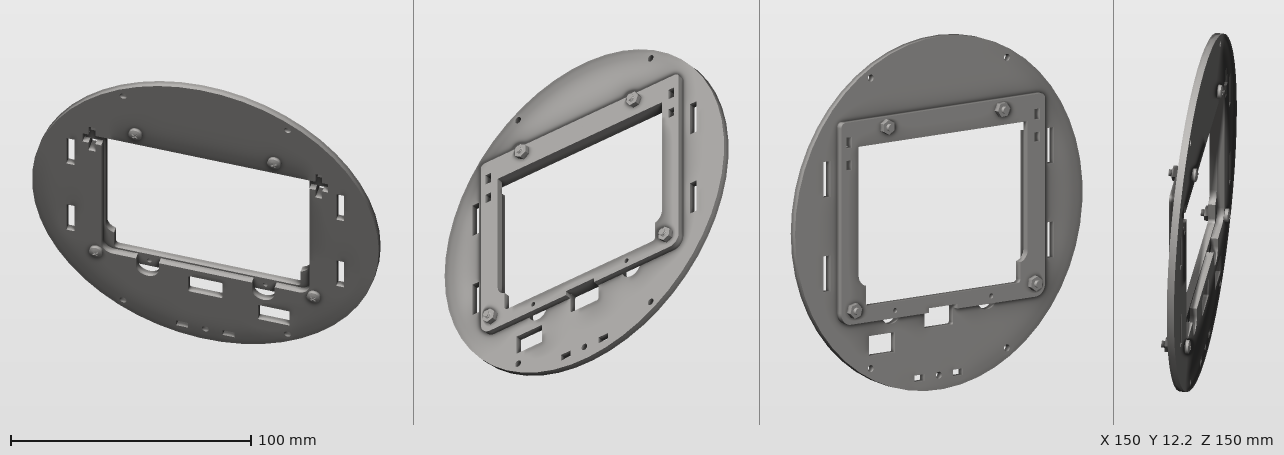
import cadquery as cq
import math

disc_thickness = 3.0
plate_thickness = 3.0
plate_front = disc_thickness
plate_back = plate_front + plate_thickness

disc_radius = 75.0
rim_hole_radius = 1.5
rim_hole_x = 35.5
rim_hole_z = 61.6
pin_hole_radius = 1.5
pin_hole_z = -68.8

window_half_width = 45.0
window_top = 34.0
window_bottom = -35.0
window_corner_radius = 5.0
ear_half_width = 53.1
ear_bottom = 29.1

tab_x = 25.0
tab_relief_radius = 5.0
tab_relief_center_z = -39.0

strap_slot_x = 58.4
strap_slot_width = 3.5
strap_slot_length = 15.3
strap_slot_centers_z = (21.5, -18.6)
tie_slot_x = 49.0
tie_slot_width = 3.0
tie_slot_top = 38.7
tie_slot_bottom = 24.6

port_width = 15.0
port_top = -39.0
port_bottom = -48.2
port_corner_radius = 0.9
switch_left = 22.8
switch_width = 13.6
switch_top = -47.7
switch_height = 8.5
foot_slot_x = 10.0
foot_slot_width = 5.1
foot_slot_height = 2.8

plate_half_width = 53.1
plate_top = 45.0
plate_bottom = -41.0
plate_top_corner_radius = 2.1
plate_bottom_corner_radius = 5.0
opening_half_width = 44.1
opening_shoulder_z = -25.5
opening_shoulder_radius = 5.0
opening_lower_half_width = 40.4
opening_bottom = -34.0
opening_lower_corner_radius = 1.5
tab_hole_radius = 1.0
tab_hole_z = -37.8
tie_bar_top = window_top
tie_bar_bottom = 28.8

screw_radius = 1.5
screw_tip_length = 1.6
thread_pitch = 0.5
thread_depth = 0.22
head_radius = 2.8
head_rim_height = 1.5
head_height = 2.2
recess_length = 3.0
recess_width = 0.6
recess_depth = 1.4
nut_across_flats = 5.5
nut_thickness = 2.4
nut_back = plate_back + nut_thickness

dome_rise = head_height - head_rim_height
dome_radius = (head_radius**2 + dome_rise**2) / (2 * dome_rise)

fasteners = (
    (-30.0, 41.0, 54.0),
    (30.0, 41.0, 30.0),
    (-47.1, -35.0, 38.0),
    (47.1, -35.0, 46.0),
)
fastener_points = [(x, z) for x, z, _ in fasteners]


def sketch_at(y):
    """XZ sketch plane at the given Y; a negative extrusion runs toward +Y."""
    return cq.Workplane("XZ", origin=(0, y, 0))


def box_between(left, right, bottom, top, y, thickness):
    """Rectangular block set by its sides, starting at y and running toward +Y."""
    outline = sketch_at(y).center((left + right) / 2, (bottom + top) / 2)
    return outline.rect(right - left, top - bottom).extrude(-thickness)


def rods(points, radius, y, thickness):
    """Round bars along Y at the given (X, Z) points."""
    return sketch_at(y).pushPoints(points).circle(radius).extrude(-thickness)


def mirrored(x, z):
    """The point and its mirror image across X = 0."""
    return [(-x, z), (x, z)]


def disc_block(left, right, bottom, top):
    return box_between(left, right, bottom, top, 0, disc_thickness)


def plate_block(left, right, bottom, top):
    return box_between(left, right, bottom, top, plate_front, plate_thickness)


def screen_window():
    """Window with rounded lower corners, and square ears at its upper corners."""
    window = disc_block(-window_half_width, window_half_width, window_bottom, window_top)
    window = window.edges("|Y and <Z").fillet(window_corner_radius)
    ears = disc_block(-ear_half_width, ear_half_width, ear_bottom, window_top)
    return window.union(ears)


def tab_reliefs():
    """Round-bottomed reliefs that open into the screen window."""
    reliefs = rods(mirrored(tab_x, tab_relief_center_z), tab_relief_radius, 0, disc_thickness)
    for x, _ in mirrored(tab_x, 0):
        left = x - tab_relief_radius
        right = x + tab_relief_radius
        reliefs = reliefs.union(disc_block(left, right, tab_relief_center_z, window_bottom))
    return reliefs


def side_slots():
    """Long strap slots and the tie slots that cross the window ears."""
    strap_points = [point for z in strap_slot_centers_z for point in mirrored(strap_slot_x, z)]
    straps = sketch_at(0).pushPoints(strap_points).rect(strap_slot_width, strap_slot_length)
    tie_points = mirrored(tie_slot_x, (tie_slot_top + tie_slot_bottom) / 2)
    ties = sketch_at(0).pushPoints(tie_points).rect(tie_slot_width, tie_slot_top - tie_slot_bottom)
    return straps.extrude(-disc_thickness).union(ties.extrude(-disc_thickness))


def lower_cutouts():
    """Port window, switch window and the two foot slots."""
    port = disc_block(-port_width / 2, port_width / 2, port_bottom, port_top)
    port = port.edges("|Y").fillet(port_corner_radius)
    switch_right = switch_left + switch_width
    switch = disc_block(switch_left, switch_right, switch_top - switch_height, switch_top)
    feet = sketch_at(0).pushPoints(mirrored(foot_slot_x, pin_hole_z))
    feet = feet.rect(foot_slot_width, foot_slot_height).extrude(-disc_thickness)
    return port.union(switch).union(feet)


def make_disc():
    disc = sketch_at(0).circle(disc_radius).extrude(-disc_thickness)
    rim_points = mirrored(rim_hole_x, rim_hole_z) + mirrored(rim_hole_x, -rim_hole_z)
    disc = disc.cut(screen_window()).cut(tab_reliefs()).cut(side_slots()).cut(lower_cutouts())
    disc = disc.cut(rods(rim_points, rim_hole_radius, 0, disc_thickness))
    disc = disc.cut(rods([(0, pin_hole_z)], pin_hole_radius, 0, disc_thickness))
    return disc.cut(rods(fastener_points, screw_radius, 0, disc_thickness))


def plate_opening():
    """Wide opening with rounded shoulders above a narrower lower part."""
    upper = plate_block(-opening_half_width, opening_half_width, opening_shoulder_z, window_top)
    upper = upper.edges("|Y and <Z").fillet(opening_shoulder_radius)
    lower = plate_block(-opening_lower_half_width, opening_lower_half_width, opening_bottom, 0)
    lower = lower.edges("|Y and <Z").fillet(opening_lower_corner_radius)
    return upper.union(lower)


def make_plate():
    plate = plate_block(-plate_half_width, plate_half_width, plate_bottom, plate_top)
    plate = plate.edges("|Y and >Z").fillet(plate_top_corner_radius)
    plate = plate.edges("|Y and <Z").fillet(plate_bottom_corner_radius)
    plate = plate.cut(plate_opening())

    for x, _ in mirrored(tie_slot_x, 0):
        left = x - tie_slot_width / 2
        right = x + tie_slot_width / 2
        plate = plate.cut(plate_block(left, right, tie_bar_top, tie_slot_top))
        plate = plate.cut(plate_block(left, right, tie_slot_bottom, tie_bar_bottom))

    plate = plate.cut(plate_block(-port_width / 2, port_width / 2, plate_bottom, port_top))

    plate = plate.cut(rods(mirrored(tab_x, tab_hole_z), tab_hole_radius, plate_front, plate_thickness))
    return plate.cut(rods(fastener_points, screw_radius, plate_front, plate_thickness))


def make_screw(x, z, turn):
    """Domed cross-recess screw with its head against the disc front, ring threads at the tip."""
    tip = nut_back + screw_tip_length
    profile = (
        cq.Workplane("XY")
        .moveTo(0, -head_height)
        .radiusArc((head_radius, -head_rim_height), -dome_radius)
        .lineTo(head_radius, 0)
        .lineTo(screw_radius, 0)
        .lineTo(screw_radius, nut_back)
    )
    for groove in range(math.floor(screw_tip_length / thread_pitch)):
        start = nut_back + groove * thread_pitch
        profile = profile.lineTo(screw_radius - thread_depth, start + thread_pitch / 2)
        profile = profile.lineTo(screw_radius, start + thread_pitch)
    screw = profile.lineTo(screw_radius, tip).lineTo(0, tip).close().revolve(360, (0, 0), (0, 1))

    recess = sketch_at(-head_height).rect(recess_length, recess_width).extrude(-recess_depth)
    recess = recess.union(recess.rotate((0, 0, 0), (0, 1, 0), 90))
    recess = recess.rotate((0, 0, 0), (0, 1, 0), -turn)
    return screw.cut(recess).translate((x, 0, z))


def make_nut(x, z, turn):
    """Hexagon nut against the plate back, with one corner at the turn angle from +X."""
    across_corners = nut_across_flats / math.cos(math.radians(30))
    nut = sketch_at(plate_back).polygon(6, across_corners).circle(screw_radius).extrude(-nut_thickness)
    return nut.rotate((0, 0, 0), (0, 1, 0), -turn).translate((x, 0, z))


disc = make_disc()
plate = make_plate()
screws = [make_screw(x, z, turn) for x, z, turn in fasteners]
nuts = [make_nut(x, z, turn) for x, z, turn in fasteners]

result = cq.Compound.makeCompound(
    [
        disc.val(),
        plate.val(),
        *[screw.val() for screw in screws],
        *[nut.val() for nut in nuts],
    ]
)